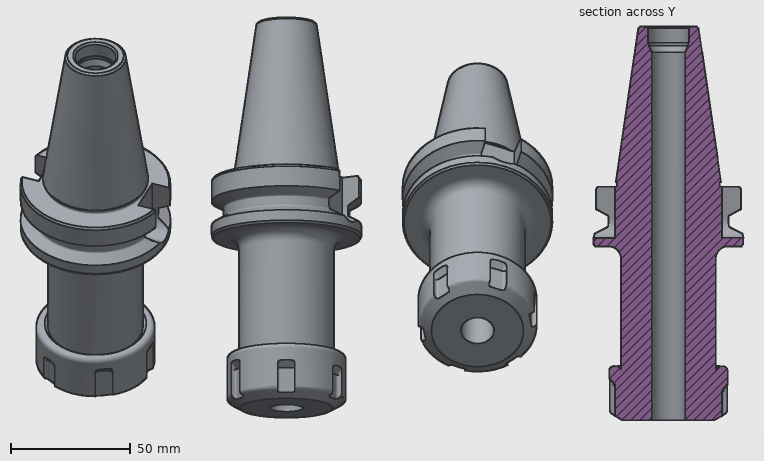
import cadquery as cq
import math

total_length = 165.4

gauge_height = 100.0
gauge_radius = 22.2
taper_ratio = 7 / 24
taper_chamfer = 0.8
relief_radius = 21.7
relief_fillet = 0.7

flange_radius = 63.0 / 2
flange_bottom = 73.0
flange_top = 98.0
flange_chamfer_width = 0.7
flange_chamfer_height = 1.0
groove_center = 83.5
groove_floor_width = 4.5
groove_floor_radius = 26.5
groove_fillet = 0.7
groove_flank_angle = math.radians(30)

keyway_width = 16.0
keyway_floor_offset = 22.5
keyway_arc_height = 84.7

neck_radius = 20.0
neck_fillet = 5.0

nut_radius = 25.0
nut_height = 22.8
nut_top_fillet = 2.2
nut_mouth_radius = 21.3
nut_nose_radius = 19.4
nut_nose_angle = math.radians(30)
nut_nose_fillet = 2.0

slot_count = 6
slot_floor_offset = 22.5
slot_width = 7.3
slot_roof_lean = 1.2
slot_corner_fillet = 1.0
short_slot_height = 12.4
tall_slot_height = 14.9

bore_radius = 7.0
counterbore_radius = 8.6
counterbore_depth = 6.8
counterbore_chamfer = 0.8
seat_radius = 8.3
seat_depth = 8.1
seat_cone_angle = math.radians(25)

cut_margin = 1.7

quarter_arc_inset = 1 - math.sqrt(0.5)


def holder_body():
    """Taper, flange and neck, revolved from one half profile."""
    taper_end_radius = gauge_radius - (total_length - gauge_height) * taper_ratio / 2
    taper_rim_radius = taper_end_radius + taper_chamfer * taper_ratio / 2
    flank_height = (flange_radius - groove_floor_radius) * math.tan(groove_flank_angle)
    floor_bottom = groove_center - groove_floor_width / 2
    floor_top = groove_center + groove_floor_width / 2
    arc_middle = neck_fillet * quarter_arc_inset
    relief_middle = relief_fillet * quarter_arc_inset
    body = (
        cq.Workplane("XZ")
        .moveTo(0, nut_height / 2)
        .lineTo(neck_radius, nut_height / 2)
        .lineTo(neck_radius, flange_bottom - neck_fillet)
        .threePointArc(
            (neck_radius + arc_middle, flange_bottom - arc_middle),
            (neck_radius + neck_fillet, flange_bottom),
        )
        .lineTo(flange_radius - flange_chamfer_width, flange_bottom)
        .lineTo(flange_radius, flange_bottom + flange_chamfer_height)
        .lineTo(flange_radius, floor_bottom - flank_height)
        .lineTo(groove_floor_radius, floor_bottom)
        .lineTo(groove_floor_radius, floor_top)
        .lineTo(flange_radius, floor_top + flank_height)
        .lineTo(flange_radius, flange_top - flange_chamfer_height)
        .lineTo(flange_radius - flange_chamfer_width, flange_top)
        .lineTo(relief_radius + relief_fillet, flange_top)
        .threePointArc(
            (relief_radius + relief_middle, flange_top + relief_middle),
            (relief_radius, flange_top + relief_fillet),
        )
        .lineTo(relief_radius, gauge_height)
        .lineTo(gauge_radius, gauge_height)
        .lineTo(taper_rim_radius, total_length - taper_chamfer)
        .lineTo(taper_end_radius - taper_chamfer, total_length)
        .lineTo(0, total_length)
        .close()
        .revolve(360, (0, 0, 0), (0, 1, 0))
    )
    groove_corners = cq.selectors.BoxSelector(
        (-flange_radius, -flange_radius, floor_bottom - groove_fillet),
        (flange_radius, flange_radius, floor_top + groove_fillet),
    )
    return body.edges(groove_corners).edges("%CIRCLE").fillet(groove_fillet)


def keyway(side):
    """Round-ended slot open to the flange top; side is -1 or +1 along X."""
    depth = flange_radius - keyway_floor_offset + cut_margin
    height = flange_top - keyway_arc_height + cut_margin
    center_x = side * (keyway_floor_offset + depth / 2)
    straight = (
        cq.Workplane("XY")
        .box(depth, keyway_width, height, centered=(True, True, False))
        .translate((center_x, 0, keyway_arc_height))
    )
    round_end = (
        cq.Workplane("YZ", origin=(center_x - depth / 2, 0, keyway_arc_height))
        .circle(keyway_width / 2)
        .extrude(depth)
    )
    return straight.union(round_end)


def wrench_slot(height, angle):
    """Slot open to the nut nose, with straight sides, rounded corners and a sloping roof."""
    depth = nut_radius + cut_margin - slot_floor_offset
    outer_height = height + slot_roof_lean * depth
    bottom = -cut_margin
    cutter = (
        cq.Workplane("YZ", origin=(slot_floor_offset, 0, 0))
        .center(0, (height + bottom) / 2)
        .rect(slot_width, height - bottom)
        .workplane(offset=depth)
        .center(0, (outer_height - height) / 2)
        .rect(slot_width, outer_height - bottom)
        .loft(ruled=True)
    )
    floor_edges = cutter.faces("<X").edges("|Z")
    roof_edges = cutter.faces(">Z").edges("not |Y")
    return (
        cutter.newObject(floor_edges.vals() + roof_edges.vals())
        .fillet(slot_corner_fillet)
        .rotate((0, 0, 0), (0, 0, 1), angle)
    )


def clamping_nut():
    """Nut with a rounded top, a countersunk mouth, a conical nose and wrench slots."""
    mouth_depth = nut_mouth_radius - neck_radius
    nose_height = (nut_radius - nut_nose_radius) * math.tan(nut_nose_angle)
    top_arc_middle = nut_top_fillet * quarter_arc_inset
    nose_half_turn = (math.pi / 2 - nut_nose_angle) / 2
    nose_tangent = nut_nose_fillet * math.tan(nose_half_turn)
    nose_arc_height = nose_height + nose_tangent
    nose_arc_radius = nut_radius - nut_nose_fillet

    def nose_point(turn):
        """Point on the nose rounding, turned down from its upper end."""
        return (
            nose_arc_radius + nut_nose_fillet * math.cos(turn),
            nose_arc_height - nut_nose_fillet * math.sin(turn),
        )

    nut = (
        cq.Workplane("XZ")
        .moveTo(0, 0)
        .lineTo(nut_nose_radius, 0)
        .lineTo(*nose_point(2 * nose_half_turn))
        .threePointArc(nose_point(nose_half_turn), nose_point(0))
        .lineTo(nut_radius, nut_height - nut_top_fillet)
        .threePointArc(
            (nut_radius - top_arc_middle, nut_height - top_arc_middle),
            (nut_radius - nut_top_fillet, nut_height),
        )
        .lineTo(nut_mouth_radius, nut_height)
        .lineTo(neck_radius, nut_height - mouth_depth)
        .lineTo(0, nut_height - mouth_depth)
        .close()
        .revolve(360, (0, 0, 0), (0, 1, 0))
    )
    for index in range(slot_count):
        angle = index * 360 / slot_count
        faces_plus_x = math.cos(math.radians(angle)) > 0
        height = tall_slot_height if faces_plus_x else short_slot_height
        nut = nut.cut(wrench_slot(height, angle))
    return nut


def bore():
    """Through bore with a chamfered counterbore and a conical seat at the taper end."""
    counterbore_height = total_length - counterbore_depth
    seat_height = total_length - seat_depth
    cone_height = (seat_radius - bore_radius) / math.tan(seat_cone_angle)
    return (
        cq.Workplane("XZ")
        .moveTo(0, 0)
        .lineTo(bore_radius, 0)
        .lineTo(bore_radius, seat_height - cone_height)
        .lineTo(seat_radius, seat_height)
        .lineTo(seat_radius, counterbore_height)
        .lineTo(counterbore_radius, counterbore_height)
        .lineTo(counterbore_radius, total_length - counterbore_chamfer)
        .lineTo(counterbore_radius + counterbore_chamfer, total_length)
        .lineTo(0, total_length)
        .close()
        .revolve(360, (0, 0, 0), (0, 1, 0))
    )


result = holder_body()
for side in (-1, 1):
    result = result.cut(keyway(side))
result = result.union(clamping_nut()).cut(bore())